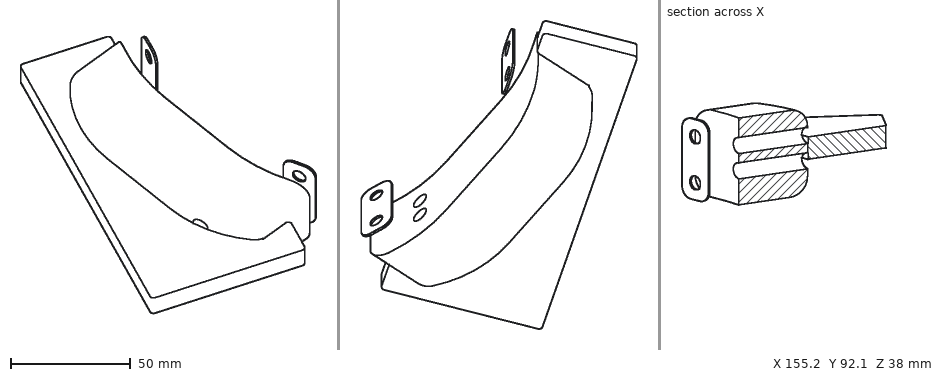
import cadquery as cq
import math

HOUSING_HALF_WIDTH = 58.0
HOUSING_DEPTH = 33.2
HOUSING_HEIGHT = 38.0
FLAT_HALF_WIDTH = 18.9
REAR_RADIUS = 80.0
FRONT_RADIUS = 57.2
HOUSING_FILLET = 8.0

HOLE_DIAMETER = 6.8
HOLE_X = 34.9
HOLE_SPACING = 11.0

PLATE_THICKNESS = 10.0
PLATE_MID_Z = 1.4
PLATE_LENGTH = 140.4
PLATE_RIGHT_WIDTH = 70.1
PLATE_LEFT_WIDTH = 41.1
PLATE_CORNER_X = -81.7
PLATE_CORNER_Y = -24.0
PLATE_CORNER_RADIUS = 1.5

STRAP_WIDTH = 15.0
STRAP_HEIGHT = 35.0
STRAP_THICKNESS = 1.0
STRAP_CORNER_RADIUS = 5.0
STRAP_X = 45.5
STRAP_Y = 16.3
STRAP_HOLE_DIAMETER = 6.0
STRAP_HOLE_SPACING = 20.0

PLATE_TILT = 20.5
STRAP_TILT = 20.0

PICK_MARGIN = 0.8


def side_arc(radius, middle_y):
    """Midpoint and end of an arc that leaves the flat stretch at middle_y and rises to the side wall."""
    end_angle = math.asin((HOUSING_HALF_WIDTH - FLAT_HALF_WIDTH) / radius)
    return [
        (FLAT_HALF_WIDTH + radius * math.sin(angle), middle_y + radius * (1 - math.cos(angle)))
        for angle in (end_angle / 2, end_angle)
    ]


def mirrored(point):
    return (-point[0], point[1])


def housing_block():
    """Full-height housing shape with rounded front corners and square top and bottom edges."""
    rear_mid, rear_end = side_arc(REAR_RADIUS, 0)
    front_mid, front_end = side_arc(FRONT_RADIUS, -HOUSING_DEPTH)
    return (
        cq.Workplane("XY", origin=(0, 0, -HOUSING_HEIGHT / 2))
        .moveTo(-FLAT_HALF_WIDTH, 0)
        .lineTo(FLAT_HALF_WIDTH, 0)
        .threePointArc(rear_mid, rear_end)
        .lineTo(*front_end)
        .threePointArc(front_mid, (FLAT_HALF_WIDTH, -HOUSING_DEPTH))
        .lineTo(-FLAT_HALF_WIDTH, -HOUSING_DEPTH)
        .threePointArc(mirrored(front_mid), mirrored(front_end))
        .lineTo(*mirrored(rear_end))
        .threePointArc(mirrored(rear_mid), (-FLAT_HALF_WIDTH, 0))
        .close()
        .extrude(HOUSING_HEIGHT)
        .edges(cq.selectors.BoxSelector(
            (-HOUSING_HALF_WIDTH - PICK_MARGIN, front_end[1] - PICK_MARGIN, -PICK_MARGIN),
            (HOUSING_HALF_WIDTH + PICK_MARGIN, front_end[1] + PICK_MARGIN, PICK_MARGIN),
        ))
        .fillet(HOUSING_FILLET)
    )


def make_housing(block):
    """Block with rounded top and bottom edges, except along the rear, and two holes along Y."""
    rear_edges = cq.selectors.BoxSelector(
        (-HOUSING_HALF_WIDTH, -PICK_MARGIN, -HOUSING_HEIGHT),
        (HOUSING_HALF_WIDTH, HOUSING_DEPTH, HOUSING_HEIGHT),
    )
    rounded = block.faces("|Z").edges(cq.selectors.InverseSelector(rear_edges)).fillet(HOUSING_FILLET)
    holes = (
        cq.Workplane("XZ", origin=(HOLE_X, 0, PLATE_MID_Z))
        .rarray(1.5, HOLE_SPACING, 1, 2)
        .circle(HOLE_DIAMETER / 2)
        .extrude(2 * HOUSING_DEPTH, both=True)
    )
    return rounded.cut(holes)


def make_plate(block):
    """Tilted plate whose notch fits against the sides and front of the housing."""
    tilt = math.radians(PLATE_TILT)

    def plate_point(along, across):
        """Plan point measured along and across the tilted plate from its front left corner."""
        return (
            PLATE_CORNER_X + along * math.cos(tilt) + across * math.sin(tilt),
            PLATE_CORNER_Y - along * math.sin(tilt) + across * math.cos(tilt),
        )

    def point_at_wall(wall_x, width):
        """Point where the rear edge at the given plate width reaches a housing side wall."""
        along = (wall_x - PLATE_CORNER_X - width * math.sin(tilt)) / math.cos(tilt)
        return plate_point(along, width)

    notch_y = -HOUSING_DEPTH / 2
    outline = [
        plate_point(0, 0),
        plate_point(PLATE_LENGTH, 0),
        plate_point(PLATE_LENGTH, PLATE_RIGHT_WIDTH),
        point_at_wall(HOUSING_HALF_WIDTH, PLATE_RIGHT_WIDTH),
        (HOUSING_HALF_WIDTH, notch_y),
        (-HOUSING_HALF_WIDTH, notch_y),
        point_at_wall(-HOUSING_HALF_WIDTH, PLATE_LEFT_WIDTH),
        plate_point(0, PLATE_LEFT_WIDTH),
    ]
    notch_corners = cq.selectors.BoxSelector(
        (-HOUSING_HALF_WIDTH - PICK_MARGIN, notch_y - PICK_MARGIN, -PLATE_THICKNESS),
        (HOUSING_HALF_WIDTH + PICK_MARGIN, notch_y + PICK_MARGIN, PLATE_THICKNESS),
    )
    return (
        cq.Workplane("XY", origin=(0, 0, PLATE_MID_Z - PLATE_THICKNESS / 2))
        .polyline(outline)
        .close()
        .extrude(PLATE_THICKNESS)
        .edges("|Z")
        .edges(cq.selectors.InverseSelector(notch_corners))
        .fillet(PLATE_CORNER_RADIUS)
        .cut(block)
    )


def make_strap(side):
    """Strap on the left (side = -1) or right (side = 1) of the housing."""
    return (
        cq.Workplane("XZ")
        .rect(STRAP_WIDTH, STRAP_HEIGHT)
        .extrude(STRAP_THICKNESS / 2, both=True)
        .edges("|Y")
        .fillet(STRAP_CORNER_RADIUS)
        .faces("<Y")
        .workplane()
        .rarray(1.5, STRAP_HOLE_SPACING, 1, 2)
        .hole(STRAP_HOLE_DIAMETER)
        .rotate((0, 0, 0), (0, 0, 1), side * STRAP_TILT)
        .translate((side * STRAP_X, STRAP_Y, 0))
    )


block = housing_block()
housing = make_housing(block)
plate = make_plate(block)
straps = [make_strap(side) for side in (-1, 1)]

result = cq.Compound.makeCompound([housing.val(), plate.val(), *[strap.val() for strap in straps]])